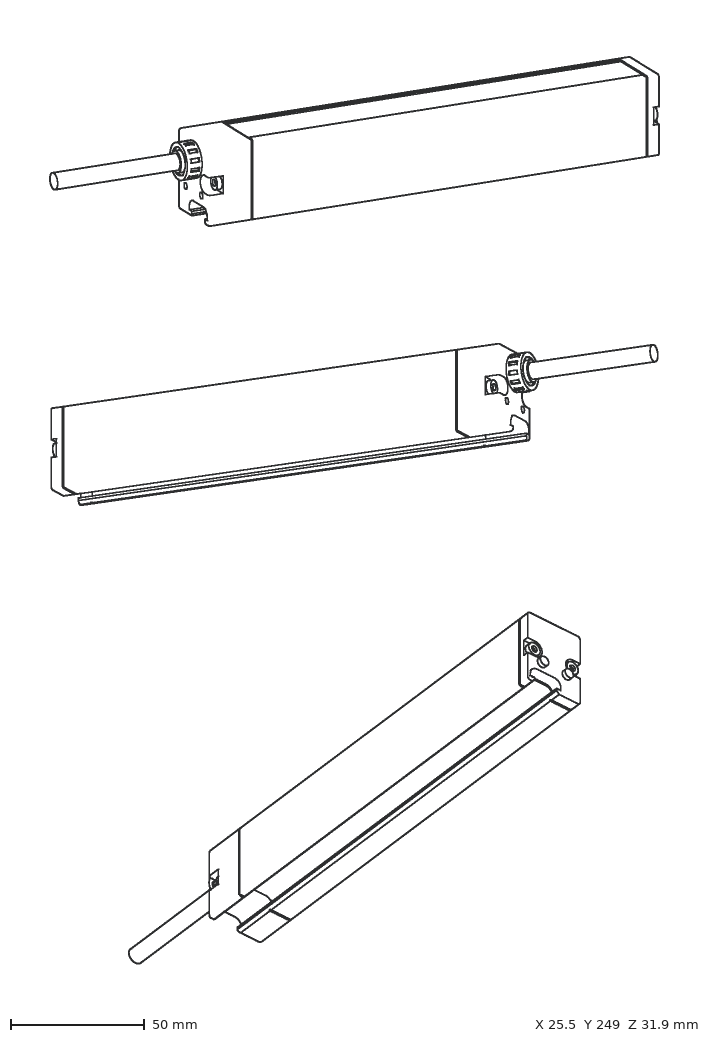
import cadquery as cq

total_length = 249.0
width = 25.5
height = 31.9
edge_radius = 1.2
front_edge_radius = 1.0

front_face = 58.5
front_seam = 76.7
rear_seam = 242.2
rear_face = 247.2
housing_length = rear_face - front_face

seam_width = 0.5
seam_depth = 0.2

window_floor_width = 18.0
window_depth = 0.37
window_slope_run = 0.7

channel_center = 4.0
channel_width = 14.7
cap_channel_height = 6.7
profile_channel_height = 6.0
channel_corner = 3.2
mouth_width = 10.5
lip_height = 2.2
lip_chamfer = 1.2

screw_x = 9.2
screw_z = 16.0
seat_radius = 3.5
head_radius = 2.7
head_height = 2.0
socket_radius = 1.2
socket_depth = 1.0
front_seat_depth = 6.0
rear_seat_depth = 2.2

hole_x = 6.5
pad_x = 6.0
low_row_z = 10.7
hole_radius = 1.2
hole_depth = 2.5
pad_radius = 2.0

cable_z = 23.1
cable_radius = 3.2
gland_radius = 7.2
rim_radius = 5.5
rim_depth = 0.7
gland_end = 52.3
nose_radius = 4.2
nose_end = 51.3
grip_count = 12
grip_width = 1.5
grip_depth = 0.7
grip_start = 54.0
grip_end = 57.5


def rod(x, z, radius, y_start, y_end):
    """Round bar along Y."""
    return cq.Workplane("XZ", origin=(x, y_start, z)).circle(radius).extrude(y_start - y_end)


def block(x_size, y_start, y_end, z_start, z_end, x_center=0):
    """Box centred on x_center, with its Y and Z limits given."""
    corner = (x_center - x_size / 2, y_start, z_start)
    return cq.Workplane("XY", origin=corner).box(x_size, y_end - y_start, z_end - z_start, centered=False)


def outer_block():
    body = block(width, front_face, rear_face, 0, height)
    return body.edges("|Y").fillet(edge_radius).faces("<Y").edges().fillet(front_edge_radius)


def seam(y):
    """Shallow groove all round the housing."""
    y_start = y - seam_width / 2
    y_end = y + seam_width / 2
    ring = block(width, y_start, y_end, 0, height)
    core = block(width - 2 * seam_depth, y_start, y_end, seam_depth, height - seam_depth)
    return ring.cut(core)


def window():
    """Recess with sloping long walls."""
    half_floor = window_floor_width / 2
    half_top = half_floor + window_slope_run
    floor_z = height - window_depth
    outline = [(-half_floor, floor_z), (half_floor, floor_z), (half_top, height), (-half_top, height)]
    plane = cq.Workplane("XZ", origin=(0, front_seam, 0))
    return plane.polyline(outline).close().extrude(front_seam - rear_seam)


def cavity(y_start, y_end, ceiling):
    """Round-shouldered stretch of the mounting channel above its lips."""
    body = block(channel_width, y_start, y_end, lip_height, ceiling, channel_center)
    return body.edges("|Y and >Z").fillet(channel_corner)


def channel():
    """Channel, taller in the caps, that opens downward through a narrower chamfered mouth."""
    tunnel = cavity(front_face, front_seam, cap_channel_height)
    tunnel = tunnel.union(cavity(front_seam, rear_seam, profile_channel_height))
    tunnel = tunnel.union(cavity(rear_seam, rear_face, cap_channel_height))
    half_mouth = mouth_width / 2
    half_flare = half_mouth + lip_chamfer
    outline = [
        (-half_flare, 0),
        (half_flare, 0),
        (half_mouth, lip_chamfer),
        (half_mouth, lip_height),
        (-half_mouth, lip_height),
        (-half_mouth, lip_chamfer),
    ]
    plane = cq.Workplane("XZ", origin=(channel_center, front_face, 0))
    mouth = plane.polyline(outline).close().extrude(-housing_length)
    return tunnel.union(mouth)


def screw_seat(side, y_start, y_end):
    """Round seat that runs out through the side wall."""
    run_out = width / 2 - screw_x
    x_center = side * (screw_x + run_out / 2)
    slot = block(run_out, y_start, y_end, screw_z - seat_radius, screw_z + seat_radius, x_center)
    return rod(side * screw_x, screw_z, seat_radius, y_start, y_end).union(slot)


def screw_head(side, seat_floor, outward):
    """Socket head standing on the seat floor; outward is the Y direction it faces."""
    top = seat_floor + outward * head_height
    head = rod(side * screw_x, screw_z, head_radius, seat_floor, top)
    return head.cut(rod(side * screw_x, screw_z, socket_radius, top - outward * socket_depth, top))


def build_housing():
    body = outer_block().cut(channel()).cut(window())
    for y in (front_seam, rear_seam):
        body = body.cut(seam(y))
    front_floor = front_face + front_seat_depth
    rear_floor = rear_face - rear_seat_depth
    for side in (-1, 1):
        body = body.cut(screw_seat(side, front_face, front_floor))
        body = body.cut(screw_seat(side, rear_floor, rear_face))
        body = body.union(screw_head(side, front_floor, -1))
        body = body.union(screw_head(side, rear_floor, 1))
        body = body.cut(rod(side * hole_x, low_row_z, hole_radius, front_face, front_face + hole_depth))
        body = body.union(rod(side * pad_x, low_row_z, pad_radius, rear_face, total_length))
    return body


def build_cable():
    body = rod(0, cable_z, gland_radius, gland_end, front_face)
    body = body.cut(rod(0, cable_z, rim_radius, gland_end, gland_end + rim_depth))
    body = body.union(rod(0, cable_z, nose_radius, nose_end, gland_end + rim_depth))
    body = body.union(rod(0, cable_z, cable_radius, 0, nose_end))
    for i in range(grip_count):
        notch = block(grip_width, grip_start, grip_end, gland_radius - grip_depth, gland_radius + grip_depth)
        notch = notch.rotate((0, 0, 0), (0, 1, 0), (i + 0.5) * 360 / grip_count)
        body = body.cut(notch.translate((0, 0, cable_z)))
    return body


housing = build_housing()
cable = build_cable()
result = cq.Compound.makeCompound([housing.val(), cable.val()])